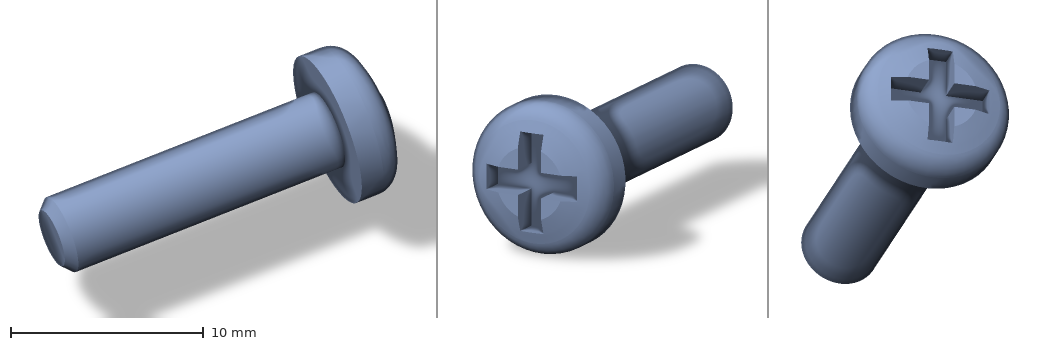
import cadquery as cq
import math

total_length = 18.8
head_diameter = 8.18
head_height = 2.91
rim_height = 1.26
shoulder_radius = 1.26
dome_edge_radius = 3.3
crown_flat_radius = 1.95
shank_diameter = 4.17
tip_chamfer = 0.53
recess_width = 1.37
recess_span = 5.34
recess_depth = 1.5

head_radius = head_diameter / 2
shank_radius = shank_diameter / 2
shank_length = total_length - head_height

shoulder_center = head_radius - shoulder_radius
shoulder_angle = math.acos((dome_edge_radius - shoulder_center) / shoulder_radius)
shoulder_end = (dome_edge_radius, rim_height + shoulder_radius * math.sin(shoulder_angle))
shoulder_mid = (
    shoulder_center + shoulder_radius * math.cos(shoulder_angle / 2),
    rim_height + shoulder_radius * math.sin(shoulder_angle / 2),
)

body = (
    cq.Workplane("XY")
    .moveTo(0, -shank_length)
    .lineTo(shank_radius - tip_chamfer, -shank_length)
    .lineTo(shank_radius, -shank_length + tip_chamfer)
    .lineTo(shank_radius, 0)
    .lineTo(head_radius, 0)
    .lineTo(head_radius, rim_height)
    .threePointArc(shoulder_mid, shoulder_end)
    .tangentArcPoint((crown_flat_radius, head_height), relative=False)
    .lineTo(0, head_height)
    .close()
    .revolve(360, (0, 0, 0), (0, 1, 0))
)

recess_center = (0, head_height - recess_depth / 2, 0)
slot_x = cq.Workplane("XY").box(recess_span, recess_depth, recess_width).translate(recess_center)
slot_z = cq.Workplane("XY").box(recess_width, recess_depth, recess_span).translate(recess_center)

center_shift = total_length / 2 - head_height
result = body.cut(slot_x.union(slot_z)).translate((0, center_shift, 0))